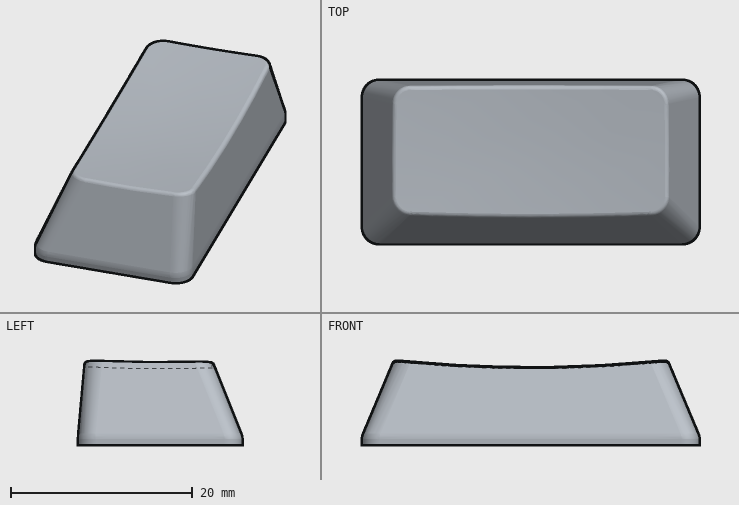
import cadquery as cq

length = 37.2
width = 18.15
height = 9.35
corner_radius = 1.97

band_height = 0.67
slope_height = 1.25

side_lean = 0.42
front_lean = 0.4
back_lean = 0.09

dish_radius = 141.4
dish_bottom = 8.4
rim_radius = 0.45

trim_allowance = 0.37

blend_steps = 4


def lean_travel(z):
    """Height that counts towards the lean: none in the band, easing in over the blend."""
    blend_height = slope_height - band_height
    if z <= band_height:
        return 0
    if z <= slope_height:
        return (z - band_height) ** 2 / (2 * blend_height)
    return z - slope_height + blend_height / 2


def cross_section(z):
    """Rounded rectangle that bounds the keycap at height z."""
    travel = lean_travel(z)
    size_x = length - 2 * side_lean * travel
    size_y = width - (front_lean + back_lean) * travel
    center_y = (front_lean - back_lean) / 2 * travel
    outline = cq.Sketch().rect(size_x, size_y).vertices().fillet(corner_radius)
    return outline.moved(cq.Location(cq.Vector(0, center_y, z)))


def loft(heights, ruled):
    sections = [cross_section(z) for z in heights]
    return cq.Workplane().placeSketch(*sections).loft(ruled=ruled)


def make_body():
    """Upright band, rolled blend and sloping walls, stacked into one solid."""
    blend_step = (slope_height - band_height) / blend_steps
    blend_heights = [band_height + i * blend_step for i in range(blend_steps + 1)]
    band = loft([0, band_height], ruled=True)
    blend = loft(blend_heights, ruled=False)
    walls = loft([slope_height, height + trim_allowance], ruled=True)
    return band.union(blend).union(walls)


def make_dish():
    return cq.Workplane().sphere(dish_radius, direct=(1, 0, 0)).translate((0, 0, dish_bottom + dish_radius))


result = make_body().cut(make_dish())
result = result.faces("%SPHERE").edges().fillet(rim_radius)